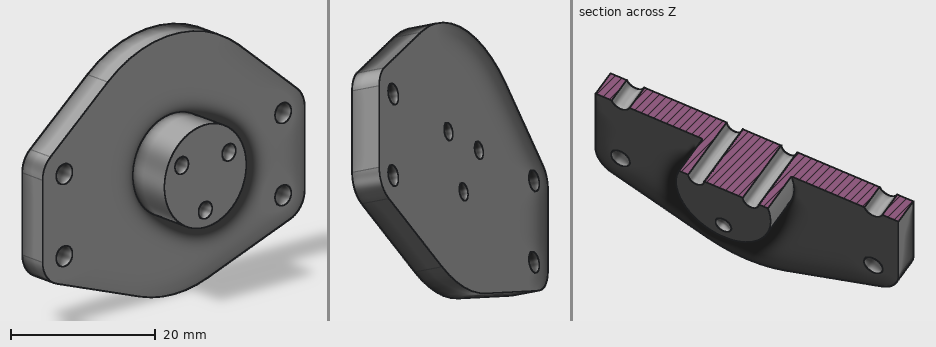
import cadquery as cq
import math

overall_length = 48.0
overall_depth = 11.0
flange_thickness = 4.3
flange_radius = 19.0
boss_diameter = 15.0

corner_radius = 4.0
corner_hole_diameter = 3.0
corner_y = overall_length / 2 - corner_radius
upper_corner_z = 3.0
lower_corner_z = -9.0

center_hole_count = 3
center_hole_diameter = 2.5
center_hole_circle_radius = 5.0
first_center_hole_angle = -90.0


def polar(center, radius, angle):
    """Point at an angle (radians) on a circle in the YZ plane."""
    return (center[0] + radius * math.cos(angle), center[1] + radius * math.sin(angle))


def tangent_angle(corner_z, side):
    """Direction of the normal to the line touching the main and corner arcs.

    side is +1 for the upper edge and -1 for the lower edge, both at +Y.
    """
    distance = math.hypot(corner_y, corner_z)
    spread = math.acos((flange_radius - corner_radius) / distance)
    return math.atan2(corner_z, corner_y) + side * spread


def mirrored(point):
    return (-point[0], point[1])


def make_flange():
    upper_center = (corner_y, upper_corner_z)
    lower_center = (corner_y, lower_corner_z)
    upper_angle = tangent_angle(upper_corner_z, 1)
    lower_angle = tangent_angle(lower_corner_z, -1)

    top_end = polar((0, 0), flange_radius, upper_angle)
    upper_start = polar(upper_center, corner_radius, upper_angle)
    upper_middle = polar(upper_center, corner_radius, upper_angle / 2)
    upper_end = polar(upper_center, corner_radius, 0)
    lower_start = polar(lower_center, corner_radius, 0)
    lower_middle = polar(lower_center, corner_radius, lower_angle / 2)
    lower_end = polar(lower_center, corner_radius, lower_angle)
    bottom_start = polar((0, 0), flange_radius, lower_angle)

    outline = (
        cq.Workplane("YZ")
        .moveTo(*mirrored(top_end))
        .threePointArc((0, flange_radius), top_end)
        .lineTo(*upper_start)
        .threePointArc(upper_middle, upper_end)
        .lineTo(*lower_start)
        .threePointArc(lower_middle, lower_end)
        .lineTo(*bottom_start)
        .threePointArc((0, -flange_radius), mirrored(bottom_start))
        .lineTo(*mirrored(lower_end))
        .threePointArc(mirrored(lower_middle), mirrored(lower_start))
        .lineTo(*mirrored(upper_end))
        .threePointArc(mirrored(upper_middle), mirrored(upper_start))
        .close()
    )
    return outline.extrude(flange_thickness)


def make_boss():
    return cq.Workplane("YZ").circle(boss_diameter / 2).extrude(overall_depth)


def make_corner_holes():
    centers = [(y, z) for y in (-corner_y, corner_y) for z in (lower_corner_z, upper_corner_z)]
    profile = cq.Workplane("YZ").pushPoints(centers).circle(corner_hole_diameter / 2)
    return profile.extrude(flange_thickness)


def make_center_holes():
    """Holes running through both the flange and the boss."""
    profile = (
        cq.Workplane("YZ")
        .polarArray(center_hole_circle_radius, first_center_hole_angle, 360, center_hole_count)
        .circle(center_hole_diameter / 2)
    )
    return profile.extrude(overall_depth)


body = make_flange().union(make_boss())
result = body.cut(make_corner_holes()).cut(make_center_holes())